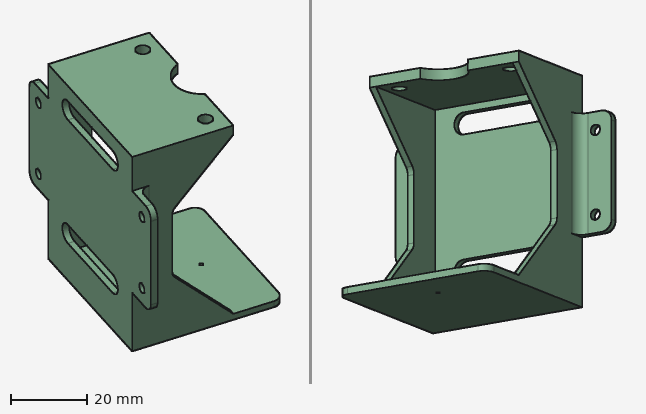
import cadquery as cq

flange_width = 68.0
body_width = 47.0
depth = 45.0
height = 63.0

back_thickness = 2.0
floor_thickness = 2.0
shelf_thickness = 3.0
side_thickness = 2.0
shelf_depth = 30.05
waist_depth = 12.0
waist_height = 21.0
waist_radius = 3.0
corner_radius = 3.0

flange_height = 33.0
flange_bottom = 19.0
flange_thickness = 2.0
flange_root_radius = 3.0
flange_hole_diameter = 2.85
flange_hole_spacing_x = 57.8
flange_hole_spacing_z = 23.0
flange_center = flange_bottom + flange_height / 2

slot_length = 31.0
slot_height = 6.0
slot_centers = (15.0, 55.0)

axis_y = 33.0
notch_radius = 8.0
shelf_hole_diameter = 4.0
shelf_hole_spacing = 35.0
shelf_hole_y = axis_y - notch_radius
pilot_diameter = 1.0


def make_body():
    """Side profile extruded across the width, sloping from the floor and the shelf to a narrow waist."""
    shelf_underside = height - shelf_thickness
    slope_rise = (shelf_underside - floor_thickness - waist_height) / 2
    body = (
        cq.Workplane("YZ")
        .moveTo(0, 0)
        .lineTo(depth, 0)
        .lineTo(depth, floor_thickness)
        .lineTo(shelf_depth, floor_thickness)
        .lineTo(waist_depth, floor_thickness + slope_rise)
        .lineTo(waist_depth, shelf_underside - slope_rise)
        .lineTo(shelf_depth, shelf_underside)
        .lineTo(shelf_depth, height)
        .lineTo(0, height)
        .close()
        .extrude(body_width / 2, both=True)
    )
    waist_corners = cq.selectors.BoxSelector(
        (-body_width, waist_depth - 0.7, floor_thickness + 0.7),
        (body_width, waist_depth + 0.7, shelf_underside - 0.7),
    )
    body = body.edges("|X").edges(waist_corners).fillet(waist_radius)
    return body.faces(">Y").edges("|Z").fillet(corner_radius)


def make_cavity():
    """Open space between the sides, the back plate, the floor and the shelf."""
    return cq.Workplane("XY").box(
        body_width - 2 * side_thickness,
        depth,
        height - floor_thickness - shelf_thickness,
        centered=(True, False, False),
    ).translate((0, back_thickness, floor_thickness))


def make_flange():
    """Rounded plate across the back, with concave fillets where it meets the sides."""
    plate = (
        cq.Workplane("XY")
        .box(flange_width, flange_thickness, flange_height, centered=(True, False, True))
        .edges("|Y")
        .fillet(corner_radius)
    )
    for side in (-1, 1):
        wall_x = side * body_width / 2
        fillet_x = wall_x + side * flange_root_radius
        fillet_y = flange_thickness + flange_root_radius
        middle = flange_root_radius * (1 - 0.5 ** 0.5)
        root = (
            cq.Workplane("XY")
            .moveTo(wall_x, 0)
            .lineTo(fillet_x, 0)
            .lineTo(fillet_x, flange_thickness)
            .threePointArc((wall_x + side * middle, flange_thickness + middle), (wall_x, fillet_y))
            .close()
            .extrude(flange_height / 2, both=True)
        )
        plate = plate.union(root)
    return plate.translate((0, 0, flange_center))


def cut_back_openings(part):
    """Two long slots and four flange holes through the back."""
    slots = (
        cq.Workplane("XZ")
        .pushPoints([(0, z) for z in slot_centers])
        .slot2D(slot_length, slot_height)
        .extrude(-back_thickness)
    )
    holes = (
        cq.Workplane("XZ", origin=(0, 0, flange_center))
        .rarray(flange_hole_spacing_x, flange_hole_spacing_z, 2, 2)
        .circle(flange_hole_diameter / 2)
        .extrude(-flange_thickness)
    )
    return part.cut(slots).cut(holes)


def cut_shelf_and_floor(part):
    """Round notch and two holes in the shelf, and a pilot hole on the notch axis."""
    shelf = cq.Workplane("XY", origin=(0, 0, height))
    notch = shelf.center(0, axis_y).circle(notch_radius).extrude(-shelf_thickness)
    holes = (
        shelf.center(0, shelf_hole_y)
        .rarray(shelf_hole_spacing, 0.7, 2, 1)
        .circle(shelf_hole_diameter / 2)
        .extrude(-shelf_thickness)
    )
    pilot = cq.Workplane("XY").center(0, axis_y).circle(pilot_diameter / 2).extrude(floor_thickness)
    return part.cut(notch).cut(holes).cut(pilot)


body = make_body().cut(make_cavity())
result = cut_shelf_and_floor(cut_back_openings(body.union(make_flange())))